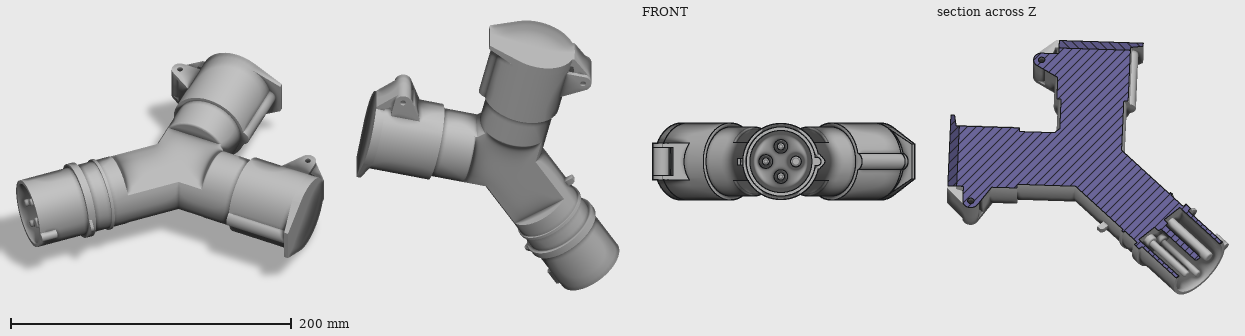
import cadquery as cq
import math


overall_length = 210.4
tube_radius = 24.6
core_half_height = 13.7
arm_angles = (45, 135)

arm_start = 25.9
arm_edge_round = 1.5
barrel_start = 50.7
barrel_end = 94.0
barrel_diameter = 55.0
barrel_radius = barrel_diameter / 2
key_radius = 6.0
key_offset = 25.0

lid_top = 100.3
tip_reach = 34.5
tip_thickness = 3.0
tip_slope_start = 13.3

hinge_center = (83.3, 37.5)
hinge_radius = 5.9
hinge_hole_radius = 2.0
hinge_half_width = 13.0
ear_half_width = 9.9
slot_wall_outer = (74.3, 34.5)
slot_wall_inner = (83.0, 27.5)
ear_root = 25.2
hinge_foot = 68.0
ear_corner = 27.3
ear_inner_corner = 28.0

tip_y = (lid_top + tip_reach) * math.sin(math.radians(45))
plug_length = overall_length - tip_y
plug_round_start = 47.0
bore_radius = 22.0
bore_depth = 42.0
thin_ring_start = 59.0
thin_ring_width = 2.0
thin_ring_radius = 25.9
flange_start = 73.6
flange_width = 5.3
flange_radius = 27.1
tab_width = 2.0
tab_half_height = 5.5
tab_root = 27.1
tab_round = 3.2
plug_key_length = 11.5
plug_key_radius = 3.0
plug_key_center = 25.7

latch_reach = 30.7
latch_start = 41.2
latch_end = 45.9
latch_tip_end = 44.5
latch_bevel = 2.0
latch_half_height = 2.3

pin_circle_radius = 10.7
pin_length = 40.8
pin_radius = 2.5
earth_pin_radius = 3.8
pin_tip_round = 1.3
collar_radius = 4.8
collar_height = 4.2

web_crest = 36.4
web_edge = 32.2
web_half_width = 6.7


def tangent_point(point, center, radius, side):
    """Where the line from point touches a circle; side +1 or -1 picks one of the two tangents."""
    dx = point[0] - center[0]
    dy = point[1] - center[1]
    angle = math.atan2(dy, dx) + side * math.acos(radius / math.hypot(dx, dy))
    return (center[0] + radius * math.cos(angle), center[1] + radius * math.sin(angle))


def core_part(tube):
    """The part of a tube that lies between the two flat faces of the core."""
    slab = cq.Workplane("XY").box(2 * overall_length, 2 * overall_length, 2 * core_half_height)
    return tube.intersect(slab)


def rod_along_x(start, end, radius, offset=0.0):
    return cq.Workplane("YZ", origin=(start, offset, 0)).circle(radius).extrude(end - start)


def rod_along_plug(start, end, radius, x=0.0, z=0.0):
    return cq.Workplane("XZ", origin=(x, -start, z)).circle(radius).extrude(end - start)


def prism(points, half_height):
    return cq.Workplane("XY").polyline(points).close().extrude(half_height, both=True)


def hinge_rod(radius, half_height):
    rod = cq.Workplane("XY").center(*hinge_center).circle(radius)
    return rod.extrude(half_height, both=True)


def keyed_barrel(start, end):
    """Round barrel with a rounded key along its side opposite the hinge."""
    return rod_along_x(start, end, barrel_radius).union(rod_along_x(start, end, key_radius, -key_offset))


def lid_ear(half_height):
    """Arm that runs from the lid's edge to the hinge, round at the hinge."""
    outer = (lid_top, ear_corner)
    inner = (barrel_end, ear_inner_corner)
    points = [
        (lid_top, ear_root),
        outer,
        tangent_point(outer, hinge_center, hinge_radius, 1),
        hinge_center,
        tangent_point(inner, hinge_center, hinge_radius, -1),
        inner,
        (barrel_end, ear_root),
    ]
    return prism(points, half_height).union(hinge_rod(hinge_radius, half_height))


def hinge_slot():
    """Room for the lid's ear above a sloping wall that runs down to the barrel."""
    wall_slope = (slot_wall_inner[1] - slot_wall_outer[1]) / (slot_wall_inner[0] - slot_wall_outer[0])
    top = hinge_center[1] + 2 * hinge_radius
    top_start = slot_wall_outer[0] + (top - slot_wall_outer[1]) / wall_slope
    floor = ear_root
    floor_start = slot_wall_inner[0] + (floor - slot_wall_inner[1]) / wall_slope
    points = [(top_start, top), (floor_start, floor), (lid_top, floor), (lid_top, top)]
    return prism(points, ear_half_width)


def hinge_bracket():
    """Triangular bracket on the barrel with a slot for the lid's ear."""
    root = math.sqrt(barrel_radius**2 - hinge_half_width**2)
    foot = (hinge_foot, root)
    end = hinge_center[0] + hinge_radius
    points = [
        foot,
        tangent_point(foot, hinge_center, hinge_radius, -1),
        hinge_center,
        (end, hinge_center[1]),
        (end, root),
    ]
    bracket = prism(points, hinge_half_width).union(hinge_rod(hinge_radius, hinge_half_width))
    return bracket.cut(hinge_slot()).cut(hinge_rod(hinge_hole_radius, hinge_half_width))


def socket_arm():
    """Arm tube, flattened near the origin, with the wider keyed barrel and its hinge bracket."""
    tube = rod_along_x(arm_start, barrel_start, tube_radius).faces("<X").edges().fillet(arm_edge_round)
    core = core_part(rod_along_x(0, barrel_start, tube_radius))
    return core.union(tube).union(hinge_bracket()).union(keyed_barrel(barrel_start, barrel_end))


def crotch_web():
    """Filler behind the crotch with a rounded front, level with the core's flat faces."""
    return (
        cq.Workplane("YZ")
        .moveTo(0, -core_half_height)
        .lineTo(web_edge, -core_half_height)
        .threePointArc((web_crest, 0), (web_edge, core_half_height))
        .lineTo(0, core_half_height)
        .close()
        .extrude(web_half_width, both=True)
    )


def pin(x, z, radius, length=pin_length):
    """Contact rod with a rounded tip that stands on the bore's floor."""
    floor = plug_length - bore_depth
    rod = rod_along_plug(floor, floor + length, radius, x, z)
    return rod.faces("<Y").edges().fillet(pin_tip_round)


def plug_key():
    """Round-topped key on the +X side at the plug's open end."""
    start = plug_length - plug_key_length
    tip = rod_along_plug(start, plug_length, plug_key_radius, plug_key_center)
    neck_length = plug_key_center - bore_radius
    neck = cq.Workplane("XY").box(neck_length, plug_key_length, 2 * plug_key_radius)
    return tip.union(neck.translate((bore_radius + neck_length / 2, -start - plug_key_length / 2, 0)))


def flange_tab():
    """Thin wedge with 45-degree flanks and a round nose on the flange's +X side."""
    end = flange_start + flange_width
    points = [
        (bore_radius, -tab_half_height),
        (tab_root, -tab_half_height),
        (tab_root + tab_half_height, 0),
        (tab_root, tab_half_height),
        (bore_radius, tab_half_height),
    ]
    tab = cq.Workplane("XZ", origin=(0, tab_width - end, 0)).polyline(points).close().extrude(tab_width)
    return tab.edges("|Y and >X").fillet(tab_round)


def latch_stub():
    """Small stub on the -X side with a bevelled lower corner."""
    points = [
        (0, -latch_start),
        (-latch_reach, -latch_start),
        (-latch_reach, -latch_tip_end),
        (-latch_reach + latch_bevel, -latch_end),
        (0, -latch_end),
    ]
    return prism(points, latch_half_height)


def plug():
    """Plug tube, flattened near the origin, with rings, tab, key, bore and contact pins."""
    core = core_part(rod_along_plug(0, plug_length, tube_radius))
    body = core.union(rod_along_plug(plug_round_start, plug_length, tube_radius))
    body = body.union(rod_along_plug(thin_ring_start, thin_ring_start + thin_ring_width, thin_ring_radius))
    body = body.union(rod_along_plug(flange_start, flange_start + flange_width, flange_radius))
    body = body.union(flange_tab()).union(plug_key()).union(latch_stub())
    body = body.cut(rod_along_plug(plug_length - bore_depth, plug_length, bore_radius))
    for x, z in ((0, 1), (-1, 0), (0, -1)):
        place = (x * pin_circle_radius, z * pin_circle_radius)
        body = body.union(pin(*place, pin_radius)).union(pin(*place, collar_radius, collar_height))
    return body.union(pin(pin_circle_radius, 0, earth_pin_radius))


def splitter_housing():
    body = plug().union(crotch_web())
    for angle in arm_angles:
        body = body.union(socket_arm().rotate((0, 0, 0), (0, 0, 1), angle))
    return body


def lid_tip():
    """Pointed side of the lid: flanks tangent to its rim, underside thinning towards the tip."""
    tangent_z = math.sqrt(barrel_radius**2 - tip_slope_start**2)
    tip_half_width = (barrel_radius**2 - tip_slope_start * tip_reach) / tangent_z
    outline = [
        (-tip_slope_start, -tangent_z),
        (-tip_reach, -tip_half_width),
        (-tip_reach, tip_half_width),
        (-tip_slope_start, tangent_z),
    ]
    plate = cq.Workplane("YZ", origin=(barrel_end, 0, 0)).polyline(outline).close()
    plate = plate.extrude(lid_top - barrel_end)
    side = [
        (lid_top, -tip_slope_start),
        (lid_top, -tip_reach),
        (lid_top - tip_thickness, -tip_reach),
        (barrel_end, -tip_slope_start),
    ]
    return plate.intersect(prism(side, barrel_radius))


def lid():
    """Keyed disc that closes the barrel, with a pointed tip and a hinge ear."""
    body = keyed_barrel(barrel_end, lid_top).union(lid_tip())
    return body.union(lid_ear(ear_half_width)).cut(hinge_rod(hinge_hole_radius, ear_half_width))


housing = splitter_housing()
lids = [lid().rotate((0, 0, 0), (0, 0, 1), angle) for angle in arm_angles]
result = cq.Compound.makeCompound([housing.val(), *[one_lid.val() for one_lid in lids]])